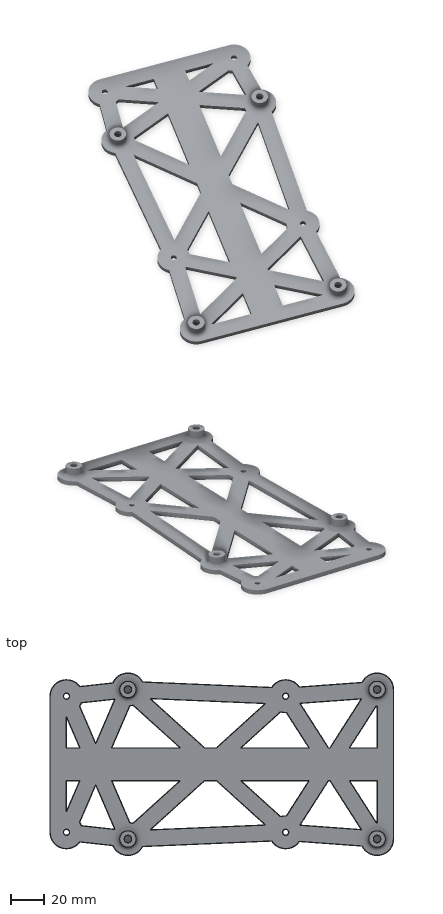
import cadquery as cq
import math

length = 207.0
width = 110.0
height = 9.0
plate_thickness = 3.0

pad_radius = 10.0
strip_width = pad_radius
spine_width = 2 * strip_width

boss_diameter = 10.0
boss_bore_diameter = 4.5
boss_fillet_radius = 1.9
screw_hole_diameter = 3.5

end_x = length / 2 - pad_radius
wide_y = width / 2 - pad_radius
narrow_y = 41.0
inner_boss_x = -56.5
inner_screw_x = 38.5

screw_stations = [(-end_x, narrow_y), (inner_screw_x, narrow_y)]
boss_stations = [(inner_boss_x, wide_y), (end_x, wide_y)]
pad_stations = sorted(screw_stations + boss_stations)


def both_sides(stations):
    """Repeat each centre on the other side of the X axis."""
    return [(x, side * y) for x, y in stations for side in (1, -1)]


def box_strip(size_x, size_y, center_x=0):
    """Axis-aligned strip with its underside on Z = 0."""
    strip = cq.Workplane("XY").box(size_x, size_y, plate_thickness, centered=(True, True, False))
    return strip.translate((center_x, 0, 0))


def strip_between(start, end):
    """Straight strip whose centre line joins two pad centres."""
    run_x = end[0] - start[0]
    run_y = end[1] - start[1]
    strip = box_strip(math.hypot(run_x, run_y), strip_width)
    strip = strip.rotate((0, 0, 0), (0, 0, 1), math.degrees(math.atan2(run_y, run_x)))
    return strip.translate(((start[0] + end[0]) / 2, (start[1] + end[1]) / 2, 0))


def make_frame():
    """Spine, end strips, pads, edge strips and one crossed brace per bay."""
    frame = box_strip(length, spine_width)
    for end_side, (_, pad_y) in ((-1, pad_stations[0]), (1, pad_stations[-1])):
        strip_center = end_side * (length - strip_width) / 2
        frame = frame.union(box_strip(strip_width, 2 * pad_y, strip_center))
    pads = cq.Workplane("XY").pushPoints(both_sides(pad_stations)).circle(pad_radius)
    frame = frame.union(pads.extrude(plate_thickness))
    for (x1, y1), (x2, y2) in zip(pad_stations, pad_stations[1:]):
        for side in (1, -1):
            start = (x1, side * y1)
            edge_strip = strip_between(start, (x2, side * y2))
            brace = strip_between(start, (x2, -side * y2))
            frame = frame.union(edge_strip).union(brace)
    return frame


def make_boss(x, y):
    """Blind-bored stand-off with a concave fillet at its foot."""
    boss_radius = boss_diameter / 2
    bore_radius = boss_bore_diameter / 2
    foot_radius = boss_radius + boss_fillet_radius
    fillet_top = plate_thickness + boss_fillet_radius
    arc_offset = boss_fillet_radius * math.sqrt(0.5)
    arc_middle = (foot_radius - arc_offset, fillet_top - arc_offset)
    profile = (
        cq.Workplane("XZ")
        .moveTo(0, 0)
        .lineTo(foot_radius, 0)
        .lineTo(foot_radius, plate_thickness)
        .threePointArc(arc_middle, (boss_radius, fillet_top))
        .lineTo(boss_radius, height)
        .lineTo(bore_radius, height)
        .lineTo(bore_radius, plate_thickness)
        .lineTo(0, plate_thickness)
        .close()
    )
    return profile.revolve(360, (0, 0, 0), (0, 1, 0)).translate((x, y, 0))


result = make_frame()
for boss_x, boss_y in both_sides(boss_stations):
    result = result.union(make_boss(boss_x, boss_y))

screw_holes = cq.Workplane("XY").pushPoints(both_sides(screw_stations)).circle(screw_hole_diameter / 2)
result = result.cut(screw_holes.extrude(plate_thickness)).clean()